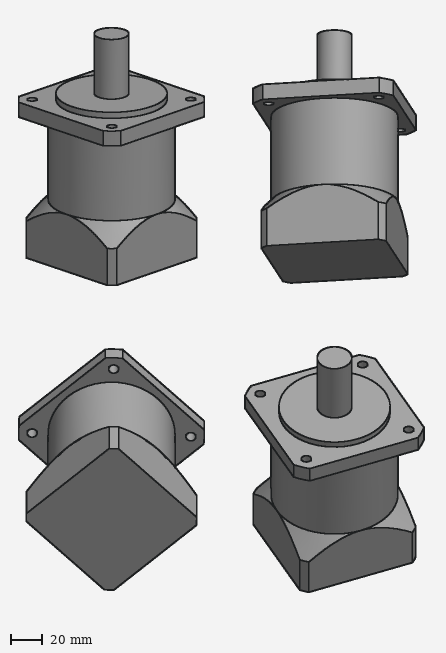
import cadquery as cq

total_height = 149.0
pilot_top = 109.0
flange_top = 105.0
flange_bottom = 95.0
shoulder_height = 38.3

flange_width = 90.0
flange_corner_diameter = 117.0
body_diameter = 80.0
base_corner_diameter = 107.3
pilot_diameter = 70.0
shaft_diameter = 21.9

hole_diameter = 6.3
hole_spacing = 70.6


def cylinder(diameter, bottom, top):
    """Vertical cylinder on the part axis between two heights."""
    return cq.Workplane("XY").workplane(offset=bottom).circle(diameter / 2).extrude(top - bottom)


def square_block(width, bottom, top):
    """Square block centred on the part axis between two heights."""
    return cq.Workplane("XY").workplane(offset=bottom).rect(width, width).extrude(top - bottom)


def make_base():
    """Square base with rounded corners and a 45 degree conical shoulder."""
    shoulder_size = (base_corner_diameter - body_diameter) / 2
    turned_blank = cylinder(base_corner_diameter, 0, shoulder_height).faces(">Z").chamfer(shoulder_size)
    return square_block(body_diameter, 0, shoulder_height).intersect(turned_blank)


def make_flange():
    """Square mounting flange with trimmed corners and four through holes."""
    rounding = cylinder(flange_corner_diameter, flange_bottom, flange_top)
    flange = square_block(flange_width, flange_bottom, flange_top).intersect(rounding)
    return (
        flange.faces(">Z")
        .workplane()
        .rect(hole_spacing, hole_spacing, forConstruction=True)
        .vertices()
        .hole(hole_diameter)
    )


body = cylinder(body_diameter, shoulder_height, flange_bottom)
pilot = cylinder(pilot_diameter, flange_top, pilot_top)
shaft = cylinder(shaft_diameter, pilot_top, total_height)

result = make_base().union(body).union(make_flange()).union(pilot).union(shaft)